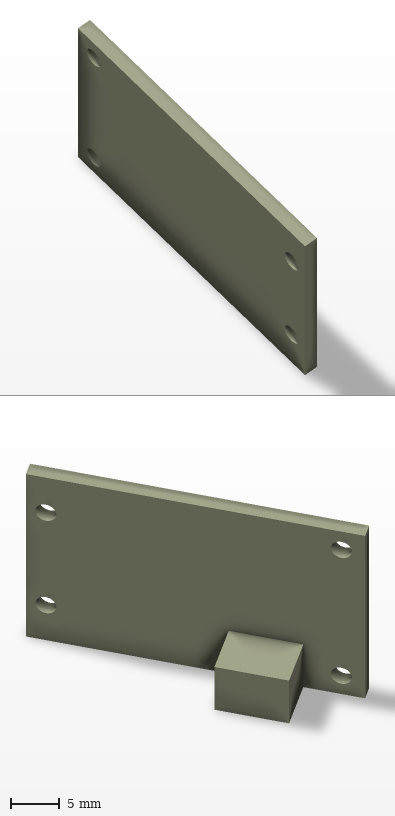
import cadquery as cq

length = 36.2
height = 22.85
total_depth = 7.3
plate_thickness = 1.63

hole_diameter = 2.25
left_hole_side_inset = 2.55
left_hole_end_inset = 2.57
right_hole_side_inset = 2.15
right_hole_end_inset = 4.92

block_left = 6.6
block_width = 7.95
block_height = 6.0


def corner_box(x_size, y_size, z_size, corner):
    """Box that extends in +X, +Y and +Z from the given corner."""
    return cq.Workplane("XY").box(x_size, y_size, z_size, centered=False).translate(corner)


def hole_pair(x, end_inset):
    """Two through-hole cutters, equally far from the bottom and top edges."""
    return (
        cq.Workplane("XZ")
        .pushPoints([(x, end_inset), (x, height - end_inset)])
        .circle(hole_diameter / 2)
        .extrude(-plate_thickness)
    )


plate = corner_box(length, plate_thickness, height, (0, 0, 0))
plate = plate.cut(hole_pair(left_hole_side_inset, left_hole_end_inset))
plate = plate.cut(hole_pair(length - right_hole_side_inset, right_hole_end_inset))

block = corner_box(
    block_width,
    total_depth - plate_thickness,
    block_height,
    (block_left, plate_thickness, 0),
)

result = plate.union(block)